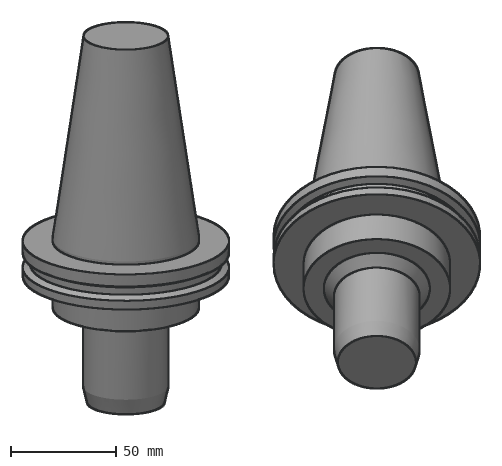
import cadquery as cq

total_length = 184.2
taper_length = 101.7
taper_top_diameter = 40.3
gauge_diameter = 69.8

flange_diameter = 98.3
flange_top_depth = 1.5
flange_bottom_depth = 19.2

groove_root_diameter = 91.3
groove_upper_edge_depth = 7.5
groove_root_top_depth = 9.2
groove_root_bottom_depth = 12.9
groove_lower_edge_depth = 14.7

collar_bottom_depth = 35.0
neck_top_diameter = 50.5
neck_bottom_depth = 40.1

nose_diameter = 40.9
tip_diameter = 37.2
tip_length = 8.0


def stacked_section(bottom_diameter, top_diameter, bottom_depth, top_depth):
    """Solid cylinder or cone around Z between two depths."""
    return (
        cq.Workplane("XZ")
        .moveTo(0, -bottom_depth)
        .lineTo(bottom_diameter / 2, -bottom_depth)
        .lineTo(top_diameter / 2, -top_depth)
        .lineTo(0, -top_depth)
        .close()
        .revolve(360, (0, 0, 0), (0, 1, 0))
    )


def make_flange():
    """Gripper flange with a trapezoidal groove around its rim."""
    flange_radius = flange_diameter / 2
    root_radius = groove_root_diameter / 2
    blank = stacked_section(flange_diameter, flange_diameter, flange_bottom_depth, flange_top_depth)
    groove = (
        cq.Workplane("XZ")
        .moveTo(flange_radius, -groove_upper_edge_depth)
        .lineTo(root_radius, -groove_root_top_depth)
        .lineTo(root_radius, -groove_root_bottom_depth)
        .lineTo(flange_radius, -groove_lower_edge_depth)
        .close()
        .revolve(360, (0, 0, 0), (0, 1, 0))
    )
    return blank.cut(groove)


tip_bottom_depth = total_length - taper_length
tip_top_depth = tip_bottom_depth - tip_length

taper = stacked_section(gauge_diameter, taper_top_diameter, 0, -taper_length)
collar = stacked_section(gauge_diameter, gauge_diameter, collar_bottom_depth, 0)

neck = stacked_section(nose_diameter, neck_top_diameter, neck_bottom_depth, collar_bottom_depth)
nose = stacked_section(nose_diameter, nose_diameter, tip_top_depth, neck_bottom_depth)
tip = stacked_section(tip_diameter, nose_diameter, tip_bottom_depth, tip_top_depth)

result = taper.union(collar).union(make_flange()).union(neck).union(nose).union(tip)